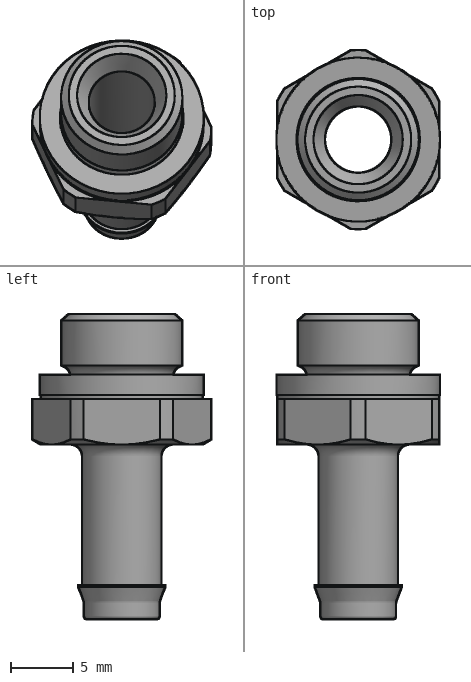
import cadquery as cq
import math

length = 24.5

bore_diameter = 5.3
mouth_diameter = 7.15
mouth_half_angle = 31.0

tip_diameter = 6.1
tip_rounding = 0.27
barb_diameter = 7.0
barb_cone_start = 1.4
barb_cone_end = 2.6
barb_top = 2.77
barb_root_radius = 0.37

shank_diameter = 6.4
shank_fillet = 0.93

hex_bottom = 14.01
hex_top = 17.7
hex_across_flats = 13.0
hex_corner_diameter = 14.38
hex_chamfer_height = 0.42

shoulder_diameter = hex_across_flats
shoulder_top = 17.98
seal_diameter = 13.15
seal_bore_diameter = 9.9
seal_top = 19.62

neck_diameter = 8.3
thread_diameter = 9.73
thread_bottom = 20.35
thread_chamfer_height = 0.55
thread_chamfer_depth = 0.61
runout_angle = 25.0
runout_cone_drop = 0.12
neck_flare_angle = 30.0


def cylinder(diameter, bottom, top):
    return cq.Workplane("XY").workplane(offset=bottom).circle(diameter / 2).extrude(top - bottom)


def make_shank():
    """Barbed hose tail, flared into the underside of the hexagon."""
    tip_radius = tip_diameter / 2
    barb_radius = barb_diameter / 2
    shank_radius = shank_diameter / 2
    barb = (
        cq.Workplane("XZ")
        .moveTo(0, 0)
        .lineTo(tip_radius, 0)
        .lineTo(tip_radius, barb_cone_start)
        .lineTo(barb_radius, barb_cone_end)
        .lineTo(barb_radius, barb_top)
        .lineTo(0, barb_top)
        .close()
        .revolve(360, (0, 0, 0), (0, 1, 0))
    )
    barb = barb.faces("<Z").edges().fillet(tip_rounding)
    edge_margin = 0.02
    barb_root = cq.selectors.BoxSelector(
        (-barb_radius, -barb_radius, barb_cone_start - edge_margin),
        (barb_radius, barb_radius, barb_cone_start + edge_margin),
    )
    barb = barb.edges("%CIRCLE").edges(barb_root).fillet(barb_root_radius)

    flare_start = hex_bottom - shank_fillet
    flare_shift = shank_fillet * (1 - math.sqrt(0.5))
    tail = (
        cq.Workplane("XZ")
        .moveTo(0, barb_top)
        .lineTo(shank_radius, barb_top)
        .lineTo(shank_radius, flare_start)
        .threePointArc(
            (shank_radius + flare_shift, hex_bottom - flare_shift),
            (shank_radius + shank_fillet, hex_bottom),
        )
        .lineTo(0, hex_bottom)
        .close()
        .revolve(360, (0, 0, 0), (0, 1, 0))
    )
    return barb.union(tail)


def make_hexagon():
    """Hexagon with rounded corners and a conical chamfer on its underside."""
    half_side_angle = 30
    across_corners = hex_across_flats / math.cos(math.radians(half_side_angle))
    prism = (
        cq.Workplane("XY")
        .workplane(offset=hex_bottom)
        .polygon(6, across_corners)
        .extrude(hex_top - hex_bottom)
        .rotate((0, 0, 0), (0, 0, 1), half_side_angle)
    )
    corner_radius = hex_corner_diameter / 2
    envelope = (
        cq.Workplane("XZ")
        .moveTo(0, hex_bottom)
        .lineTo(hex_across_flats / 2, hex_bottom)
        .lineTo(corner_radius, hex_bottom + hex_chamfer_height)
        .lineTo(corner_radius, hex_top)
        .lineTo(0, hex_top)
        .close()
        .revolve(360, (0, 0, 0), (0, 1, 0))
    )
    return prism.intersect(envelope)


def make_seal():
    seal = cylinder(seal_diameter, shoulder_top, seal_top)
    return seal.cut(cylinder(seal_bore_diameter, shoulder_top, seal_top))


def make_threaded_end():
    """Plain thread cylinder on a neck that curves out at both ends."""
    neck_radius = neck_diameter / 2
    thread_radius = thread_diameter / 2
    slope = math.radians(runout_angle)
    cone_end_radius = thread_radius - runout_cone_drop / math.tan(slope)
    cone_end_z = thread_bottom - runout_cone_drop

    arc_turn = math.pi / 2 - slope
    arc_radius = (cone_end_radius - neck_radius) / (1 - math.cos(arc_turn))
    arc_end_z = cone_end_z - arc_radius * math.sin(arc_turn)

    flare_turn = math.radians(neck_flare_angle)
    flare_radius = neck_radius + arc_radius * (1 - math.cos(flare_turn))
    flare_z = arc_end_z - arc_radius * math.sin(flare_turn)
    root_radius = flare_radius + (flare_z - shoulder_top) * math.tan(flare_turn)
    return (
        cq.Workplane("XZ")
        .moveTo(0, shoulder_top)
        .lineTo(root_radius, shoulder_top)
        .lineTo(flare_radius, flare_z)
        .threePointArc((neck_radius, arc_end_z), (cone_end_radius, cone_end_z))
        .lineTo(thread_radius, thread_bottom)
        .lineTo(thread_radius, length - thread_chamfer_height)
        .lineTo(thread_radius - thread_chamfer_depth, length)
        .lineTo(0, length)
        .close()
        .revolve(360, (0, 0, 0), (0, 1, 0))
    )


def make_bore():
    """Through bore opening into a conical mouth at the top."""
    bore_radius = bore_diameter / 2
    mouth_radius = mouth_diameter / 2
    mouth_depth = (mouth_radius - bore_radius) / math.tan(math.radians(mouth_half_angle))
    return (
        cq.Workplane("XZ")
        .moveTo(0, 0)
        .lineTo(bore_radius, 0)
        .lineTo(bore_radius, length - mouth_depth)
        .lineTo(mouth_radius, length)
        .lineTo(0, length)
        .close()
        .revolve(360, (0, 0, 0), (0, 1, 0))
    )


result = (
    make_shank()
    .union(make_hexagon())
    .union(cylinder(shoulder_diameter, hex_top, shoulder_top))
    .union(make_seal())
    .union(make_threaded_end())
    .cut(make_bore())
)